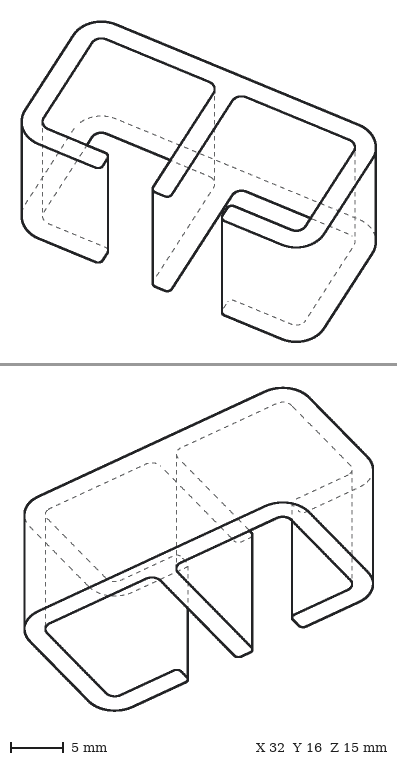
import cadquery as cq

width = 32.0
depth = 16.0
height = 15.0
wall = width / 16
outer_radius = 1.5 * wall
inner_radius = outer_radius - wall
mouth_width = 12.8
tip_radius = wall / 4

inner_width = width - 2 * wall
inner_depth = depth - 2 * wall
front_y = -depth / 2
lip_y = front_y + wall
back_wall_y = depth / 2 - wall


def rounded_block(size_x, size_y, radius):
    """Block of full height with rounded vertical edges."""
    return cq.Workplane("XY").box(size_x, size_y, height).edges("|Z").fillet(radius)


def make_channel():
    """Rounded tube with a mouth between two lips along its front."""
    tube = rounded_block(width, depth, outer_radius).cut(
        rounded_block(inner_width, inner_depth, inner_radius)
    )
    mouth = cq.Workplane("XY").box(mouth_width, wall, height).translate((0, front_y + wall / 2, 0))
    return tube.cut(mouth)


def make_web():
    """Central web from the back wall to the front face."""
    web_depth = depth - wall
    web_center_y = front_y + web_depth / 2
    return cq.Workplane("XY").box(wall, web_depth, height).translate((0, web_center_y, 0))


def edges_at(points):
    """Selector for the vertical edges through the given XY points."""
    reach = tip_radius / 4
    selector = None
    for x, y in points:
        box = cq.selectors.BoxSelector(
            (x - reach, y - reach, -height), (x + reach, y + reach, height)
        )
        selector = box if selector is None else selector + box
    return selector


web_roots = [(side * wall / 2, back_wall_y) for side in (-1, 1)]
web_tips = [(side * wall / 2, front_y) for side in (-1, 1)]
lip_tips = [(side * mouth_width / 2, y) for side in (-1, 1) for y in (front_y, lip_y)]

result = make_channel().union(make_web())
result = result.edges(edges_at(web_roots)).fillet(inner_radius)
result = result.edges(edges_at(web_tips + lip_tips)).fillet(tip_radius)